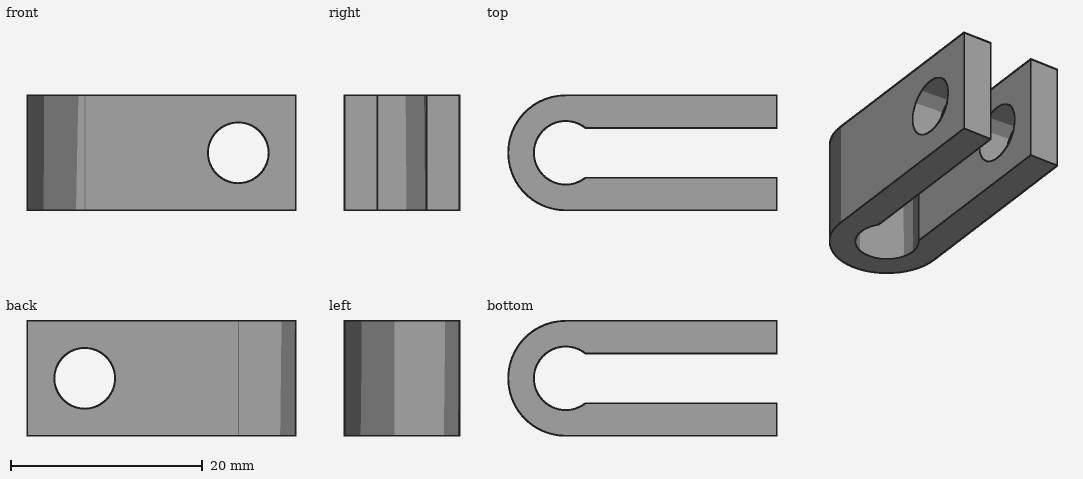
import cadquery as cq

length = 28.0
width = 12.0
height = 12.0
bore_diameter = 6.6
slot_width = 5.15
pin_hole_diameter = 6.3
pin_hole_setback = 6.0

end_radius = width / 2
open_end_x = length - end_radius
pin_hole_x = open_end_x - pin_hole_setback


def make_body():
    """Block with one full-round end, concentric with the bore."""
    outline = (
        cq.Workplane("XY")
        .moveTo(open_end_x, end_radius)
        .lineTo(0, end_radius)
        .threePointArc((-end_radius, 0), (0, -end_radius))
        .lineTo(open_end_x, -end_radius)
        .close()
    )
    return outline.extrude(height / 2, both=True)


def make_bore():
    """Vertical bore through the full height."""
    return cq.Workplane("XY").circle(bore_diameter / 2).extrude(height / 2, both=True)


def make_slot():
    """Gap running from the bore axis out through the open end."""
    return cq.Workplane("XY").box(open_end_x, slot_width, height).translate((open_end_x / 2, 0, 0))


def make_pin_hole():
    """Cross hole along Y through both arms."""
    return (
        cq.Workplane("XZ")
        .center(pin_hole_x, 0)
        .circle(pin_hole_diameter / 2)
        .extrude(width / 2, both=True)
    )


result = make_body().cut(make_bore()).cut(make_slot()).cut(make_pin_hole())